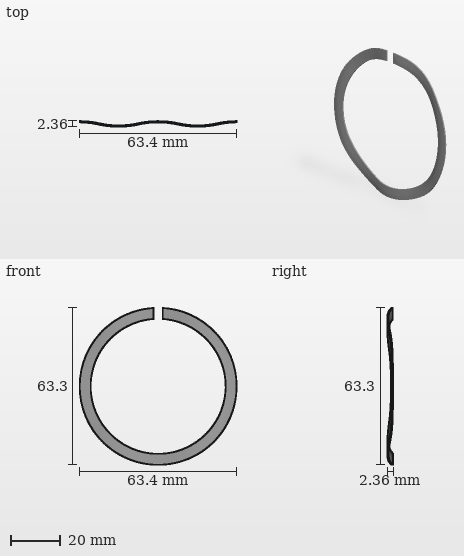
import cadquery as cq
import math

outer_radius = 31.685
inner_radius = 27.185
gap_width = 3.6
thickness = 0.6
overall_height = 2.36

wave_reach = 31.88
half_span = wave_reach / 4
arc_rise = (overall_height - thickness) / 2
bend_radius = (half_span**2 + arc_rise**2) / (2 * arc_rise)
half_angle = math.asin(half_span / bend_radius)
crest_center_y = arc_rise - bend_radius
trough_center_y = -crest_center_y
trough_x = 2 * half_span


def point_on_arc(center_x, center_y, radius, angle):
    """Arc point at an angle from the Y axis, with a negative radius on its -Y side."""
    return (center_x + radius * math.sin(angle), center_y + radius * math.cos(angle))


def bend(center_x, center_y, side, start_angle, end_angle):
    """One curved strip: side is +1 for a crest and -1 for a trough."""
    far = side * (bend_radius + thickness / 2)
    near = side * (bend_radius - thickness / 2)
    middle_angle = (start_angle + end_angle) / 2
    return (
        cq.Workplane("XY")
        .moveTo(*point_on_arc(center_x, center_y, far, start_angle))
        .threePointArc(
            point_on_arc(center_x, center_y, far, middle_angle),
            point_on_arc(center_x, center_y, far, end_angle),
        )
        .lineTo(*point_on_arc(center_x, center_y, near, end_angle))
        .threePointArc(
            point_on_arc(center_x, center_y, near, middle_angle),
            point_on_arc(center_x, center_y, near, start_angle),
        )
        .close()
        .extrude(outer_radius, both=True)
    )


def wavy_sheet():
    """Central crest, a trough on each side, then a half crest out to each edge."""
    sheet = bend(0, crest_center_y, 1, -half_angle, half_angle)
    for direction in (-1, 1):
        trough = bend(direction * trough_x, trough_center_y, -1, -half_angle, half_angle)
        edge_crest = bend(direction * wave_reach, crest_center_y, 1, -direction * half_angle, 0)
        sheet = sheet.union(trough).union(edge_crest)
    return sheet


def ring_blank():
    """Straight-walled ring along Y, taller than the wave."""
    return (
        cq.Workplane("XZ")
        .circle(outer_radius)
        .circle(inner_radius)
        .extrude(overall_height, both=True)
    )


def gap_cutter():
    """Parallel-sided slot through the ring at +Z."""
    return cq.Workplane("XY").box(
        gap_width, 2 * overall_height, outer_radius, centered=(True, True, False)
    )


result = wavy_sheet().intersect(ring_blank()).cut(gap_cutter())